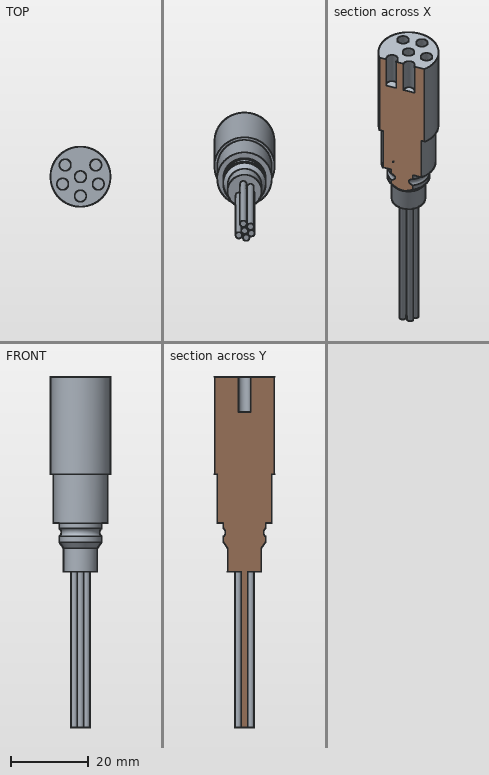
import cadquery as cq
import math

total_length = 90.0
head_diameter = 15.5
body_diameter = 14.0
collar_diameter = 11.0
sleeve_diameter = 8.7

head_end = 25.0
body_end = 37.5
groove_start = 38.9
groove_end = 40.95
collar_end = 42.4
taper_end = 44.0
sleeve_end = 50.0
groove_depth = 0.5

socket_diameter = 3.0
socket_depth = 9.0
socket_circle_radius = 4.95
socket_angles = [37.5, 142.5, 202.5, 270.0, 337.5]

wire_diameter = 1.7
wire_circle_diameter = 3.8
wire_angles = [30.0, 150.0, 214.0, 270.0, 326.0]


def height(distance_from_top):
    """Z of a level given its distance below the pin face."""
    return total_length - distance_from_top


def centre_and_ring(radius, angles):
    """Points of one central position and the positions around it."""
    ring = [
        (radius * math.cos(math.radians(angle)), radius * math.sin(math.radians(angle)))
        for angle in angles
    ]
    return [(0, 0)] + ring


def make_housing():
    """Stepped round housing with a rounded groove and a taper to the cable sleeve."""
    head_radius = head_diameter / 2
    body_radius = body_diameter / 2
    collar_radius = collar_diameter / 2
    sleeve_radius = sleeve_diameter / 2
    groove_bottom = (collar_radius - groove_depth, height((groove_start + groove_end) / 2))
    profile = (
        cq.Workplane("XZ")
        .moveTo(0, total_length)
        .lineTo(head_radius, total_length)
        .lineTo(head_radius, height(head_end))
        .lineTo(body_radius, height(head_end))
        .lineTo(body_radius, height(body_end))
        .lineTo(collar_radius, height(body_end))
        .lineTo(collar_radius, height(groove_start))
        .threePointArc(groove_bottom, (collar_radius, height(groove_end)))
        .lineTo(collar_radius, height(collar_end))
        .lineTo(sleeve_radius, height(taper_end))
        .lineTo(sleeve_radius, height(sleeve_end))
        .lineTo(0, height(sleeve_end))
        .close()
    )
    return profile.revolve(360, (0, 0, 0), (0, 1, 0))


def make_sockets():
    """Blind round holes sunk into the top face."""
    return (
        cq.Workplane("XY", origin=(0, 0, total_length))
        .pushPoints(centre_and_ring(socket_circle_radius, socket_angles))
        .circle(socket_diameter / 2)
        .extrude(-socket_depth)
    )


def make_wires():
    """Round wires running from the bottom of the sleeve to Z = 0."""
    return (
        cq.Workplane("XY")
        .pushPoints(centre_and_ring(wire_circle_diameter / 2, wire_angles))
        .circle(wire_diameter / 2)
        .extrude(height(sleeve_end))
    )


result = make_housing().cut(make_sockets()).union(make_wires())